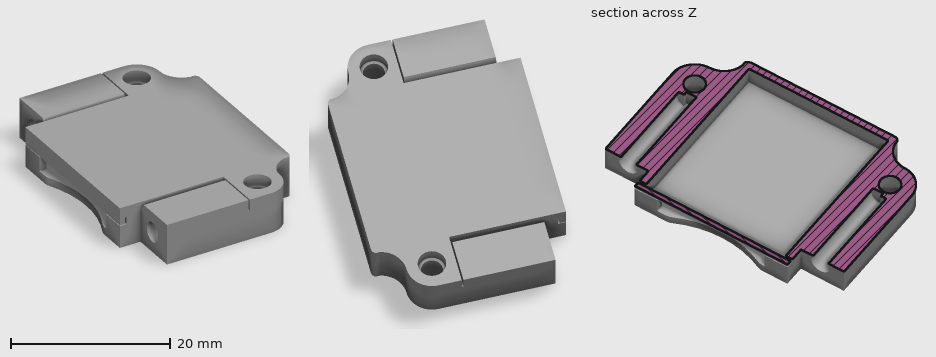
import cadquery as cq
import math

width = 36.2
depth = 25.1
height = 5.8
half_width = width / 2

core_half = 11.6
arm_front = 3.0
ear_radius = 3.3
screw_x = half_width - ear_radius
screw_y = 18.17
ear_back = screw_y + ear_radius
scallop_y = ear_back + ear_radius
scallop_end_y = scallop_y - math.sqrt(ear_radius**2 - (screw_x - core_half)**2)
corner_radius = 0.95
corner_inset = 0.75
corner_y = depth - corner_radius
corner_end_y = corner_y + math.sqrt(corner_radius**2 - corner_inset**2)

lid_thickness = 1.6
split_z = height - lid_thickness
lid_ear_front = 15.13
lip_thickness = 0.75
lip_bottom = 3.3

block_back = 14.9
bevel_width = 0.85
bevel_height = 1.4
wall = 1.05
front_wall_top = 3.2
floor_thickness = 1.12
mouth_half = 8.15

screw_diameter = 2.8
counterbore_diameter = 3.6
pin_hole_x = 14.55
pin_hole_z = height / 2
pin_hole_diameter = 2.8
pin_hole_end = 15.93
pin_step_end = 16.47
pin_step_x = 14.88

scoop_x = 0.5
scoop_radius = 15.0
scoop_depth = 1.65
scoop_fillet = 2.0


def box(x0, x1, y0, y1, z0, z1):
    """Box between two opposite corners."""
    return cq.Workplane("XY").box(x1 - x0, y1 - y0, z1 - z0, centered=False).translate((x0, y0, z0))


def arc_point(center_x, center_y, radius, degrees):
    """Point at an angle on a circle."""
    angle = math.radians(degrees)
    return (center_x + radius * math.cos(angle), center_y + radius * math.sin(angle))


def half_outline(ear_front):
    """Right half of the plan outline, with the ears and arms starting at ear_front."""
    corner_x = core_half - corner_inset
    corner_angle = math.degrees(math.atan2(corner_end_y - corner_y, corner_inset))
    scallop_angle = math.degrees(math.atan2(scallop_end_y - scallop_y, core_half - screw_x)) % 360
    return (
        cq.Workplane("XY")
        .moveTo(0, 0)
        .lineTo(core_half, 0)
        .lineTo(core_half, ear_front)
        .lineTo(half_width, ear_front)
        .lineTo(half_width, screw_y)
        .threePointArc(arc_point(screw_x, screw_y, ear_radius, 45), (screw_x, ear_back))
        .threePointArc(
            arc_point(screw_x, scallop_y, ear_radius, (270 + scallop_angle) / 2),
            (core_half, scallop_end_y),
        )
        .lineTo(core_half, corner_end_y)
        .threePointArc(
            arc_point(corner_x, corner_y, corner_radius, (90 + corner_angle) / 2),
            (corner_x, depth),
        )
        .lineTo(0, depth)
        .close()
    )


def plate(ear_front, z0, thickness):
    """Symmetric plate with the full plan outline."""
    half = half_outline(ear_front).extrude(thickness)
    return half.union(half.mirror("YZ")).translate((0, 0, z0))


def screw_holes(diameter):
    """Vertical cylinders through both ears."""
    return (
        cq.Workplane("XY")
        .pushPoints([(-screw_x, screw_y), (screw_x, screw_y)])
        .circle(diameter / 2)
        .extrude(height)
    )


def side_block():
    """Raised block on the right arm, with its inner top edge bevelled."""
    bevel_x = core_half + bevel_width
    return (
        cq.Workplane("XZ", origin=(0, block_back, 0))
        .moveTo(core_half, split_z)
        .lineTo(half_width, split_z)
        .lineTo(half_width, height)
        .lineTo(bevel_x, height)
        .lineTo(core_half, height - bevel_height)
        .close()
        .extrude(block_back - arm_front)
    )


def arm_cylinders(end_y):
    """Cylinders along Y from the arm fronts to end_y."""
    return (
        cq.Workplane("XZ", origin=(0, end_y, 0))
        .pushPoints([(-pin_hole_x, pin_hole_z), (pin_hole_x, pin_hole_z)])
        .circle(pin_hole_diameter / 2)
        .extrude(end_y - arm_front)
    )


def pin_holes():
    """Flat-ended holes in the arms, each stepped deeper on its inner side."""
    deep_side = box(-pin_step_x, pin_step_x, arm_front, pin_step_end, 0, height)
    return arm_cylinders(pin_hole_end).union(arm_cylinders(pin_step_end).intersect(deep_side))


def finger_scoop():
    """Shallow arc cut into the front edge, blended into it by convex fillets."""
    center_y = scoop_depth - scoop_radius
    center_gap = scoop_radius + scoop_fillet
    fillet_dx = math.sqrt(center_gap**2 - (scoop_fillet - center_y) ** 2)
    tangent_angle = math.degrees(math.acos(fillet_dx / center_gap))
    tangent_x, tangent_y = arc_point(0, center_y, scoop_radius, tangent_angle)
    middle_angle = (270 + 180 + tangent_angle) / 2
    middle_x, middle_y = arc_point(fillet_dx, scoop_fillet, scoop_fillet, middle_angle)
    return (
        cq.Workplane("XY")
        .moveTo(scoop_x - fillet_dx, 0)
        .threePointArc((scoop_x - middle_x, middle_y), (scoop_x - tangent_x, tangent_y))
        .threePointArc((scoop_x, scoop_depth), (scoop_x + tangent_x, tangent_y))
        .threePointArc((scoop_x + middle_x, middle_y), (scoop_x + fillet_dx, 0))
        .close()
        .extrude(floor_thickness)
    )


def make_base():
    """Open-topped tray with side arms, a lowered front wall and a wide front mouth."""
    block = side_block()
    cavity_half = core_half - wall
    base = plate(arm_front, 0, split_z).union(block).union(block.mirror("YZ"))
    base = base.cut(box(-core_half, core_half, 0, wall, front_wall_top, split_z))
    base = base.cut(box(-cavity_half, cavity_half, wall, depth - wall, floor_thickness, split_z))
    base = base.cut(box(-mouth_half, mouth_half, 0, wall, floor_thickness, split_z))
    return base.cut(finger_scoop()).cut(screw_holes(screw_diameter)).cut(pin_holes())


def make_lid():
    """Flat cover with a front lip that hangs ahead of the tray."""
    lip = box(-core_half, core_half, 0, lip_thickness, lip_bottom, split_z)
    lid = plate(lid_ear_front, split_z, lid_thickness).union(lip)
    return lid.cut(screw_holes(counterbore_diameter))


base = make_base()
lid = make_lid()

result = cq.Compound.makeCompound([base.solids().val(), lid.solids().val()])